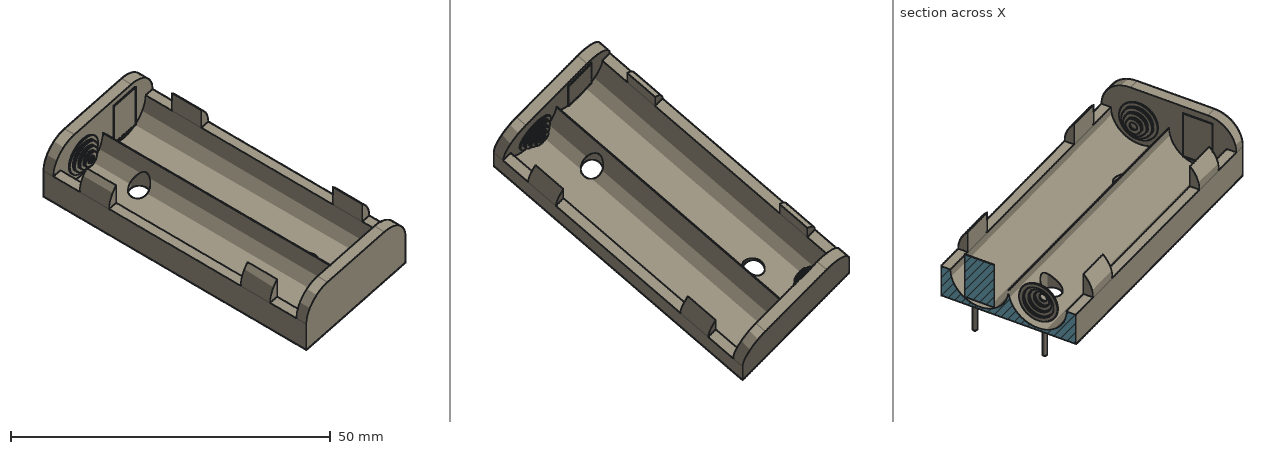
import cadquery as cq


LENGTH = 53.0
WIDTH = 24.6
RIM_HEIGHT = 5.85
CORNER_RADIUS = 5.25
END_WALL = 2.0
TOP_HEIGHT = RIM_HEIGHT + CORNER_RADIUS
WALL_FACE_X = LENGTH / 2 - END_WALL

CELL_RADIUS = 5.25
CELL_Y = 5.3
TROUGH_EDGE_Y = CELL_Y + CELL_RADIUS

CLIP_LENGTH = 5.95
CLIP_CENTER_X = 16.2

HOLE_DIAMETER = 3.5
HOLE_Y = 2.4
HOLE_CENTERS = [(-15.25, -HOLE_Y), (14.75, HOLE_Y)]

PIN_DIAMETER = 0.8
PIN_TIP_DIAMETER = 0.02
PIN_LENGTH = 4.95
PIN_X = -23.95
PIN_Y = 6.35
PIN_TIP_LENGTH = (PIN_DIAMETER - PIN_TIP_DIAMETER) / 2

PAD_WIDTH = 5.4
PAD_THICKNESS = 0.15
PAD_TOP = RIM_HEIGHT + 3.95
PAD_BOTTOM = 1.4

RING_COUNT = 4
RING_MAX_DIAMETER = 7.0
RING_STEP = RING_MAX_DIAMETER / (RING_COUNT + 1)
RING_PITCH = 0.5
RING_THICKNESS = RING_PITCH / 2
SPRING_Z = RIM_HEIGHT - 0.5


def make_end_profile(length, center_x):
    """Block with the round-shouldered outline of the end walls."""
    return (
        cq.Workplane("XY")
        .box(length, WIDTH, TOP_HEIGHT, centered=(True, True, False))
        .edges("|X and >Z")
        .fillet(CORNER_RADIUS)
        .translate((center_x, 0, 0))
    )


def make_shell():
    """Base tray with its end walls and clips, before the holes are cut."""
    shell = cq.Workplane("XY").box(LENGTH, WIDTH, RIM_HEIGHT, centered=(True, True, False))
    opening = cq.Workplane("XY").box(LENGTH, 2 * TROUGH_EDGE_Y, TOP_HEIGHT, centered=(True, True, False))
    for side in (-1, 1):
        shell = shell.union(make_end_profile(END_WALL, side * (LENGTH - END_WALL) / 2))
        clips = make_end_profile(CLIP_LENGTH, side * CLIP_CENTER_X)
        shell = shell.union(clips.cut(opening))
    return shell


def make_trough(side):
    """Half-round cell trough between the end walls."""
    return (
        cq.Workplane("YZ", origin=(-WALL_FACE_X, 0, 0))
        .center(side * CELL_Y, RIM_HEIGHT)
        .circle(CELL_RADIUS)
        .extrude(2 * WALL_FACE_X)
    )


def make_pin(side):
    """Solder pin below the base, with a conical tip."""
    return (
        cq.Workplane("XY", origin=(PIN_X, side * PIN_Y, 0))
        .circle(PIN_DIAMETER / 2)
        .extrude(-PIN_LENGTH)
        .faces("<Z")
        .chamfer(PIN_TIP_LENGTH)
    )


def make_pad(side):
    """Flat contact on one end wall, facing the spring at the other end."""
    center_x = side * (WALL_FACE_X - PAD_THICKNESS / 2)
    return (
        cq.Workplane("XY", origin=(center_x, -side * CELL_Y, PAD_BOTTOM))
        .box(PAD_THICKNESS, PAD_WIDTH, PAD_TOP - PAD_BOTTOM, centered=(True, True, False))
    )


def make_housing():
    """Holder with troughs, drain holes, fixed contact pads and solder pins."""
    housing = make_shell()
    for side in (-1, 1):
        housing = housing.cut(make_trough(side))
    housing = housing.cut(
        cq.Workplane("XY").pushPoints(HOLE_CENTERS).circle(HOLE_DIAMETER / 2).extrude(RIM_HEIGHT)
    )
    for side in (-1, 1):
        housing = housing.union(make_pad(side)).union(make_pin(side))
    return housing


def make_spring_ring(side, index):
    """Flat ring of a contact spring; index 0 is the largest, nearest the end wall."""
    outer_diameter = RING_MAX_DIAMETER - index * RING_STEP
    center_x = side * (WALL_FACE_X - (index + 1) * RING_PITCH + RING_THICKNESS / 2)
    return (
        cq.Workplane("YZ", origin=(center_x, side * CELL_Y, SPRING_Z))
        .circle(outer_diameter / 2)
        .circle(outer_diameter / 2 - RING_STEP / 2)
        .extrude(RING_THICKNESS / 2, both=True)
    )


housing = make_housing()
spring_rings = [make_spring_ring(side, index) for side in (-1, 1) for index in range(RING_COUNT)]

result = cq.Compound.makeCompound([housing.val(), *[ring.val() for ring in spring_rings]])